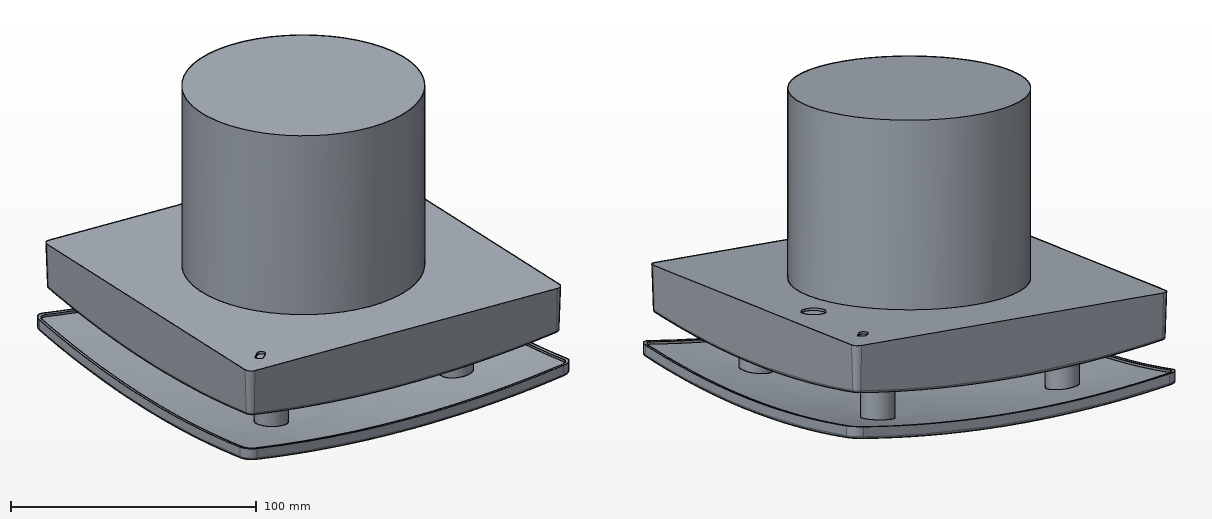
import cadquery as cq

duct_diameter = 99.0
duct_height = 80.0

housing_size = 153.0
housing_corner_radius = 3.0
housing_draft_angle = 2.0
housing_depth = 30.6

plate_size = 159.0
plate_corner_radius = 5.0
plate_thickness = 5.0
rim_width = 1.4
rim_height = 1.0
overall_height = 129.63
plate_bottom_z = duct_height - overall_height

dome_radius = 540.0
edge_fillet = 1.0

peg_diameter = 14.0
peg_offset = 45.0

recess_depth = 1.0
slot_length = 7.0
slot_width = 3.5
slot_angle = -45.0
slot_centers = [(-62.0, 63.4), (65.0, -63.4)]
round_recess_diameter = 10.2
round_recess_center = (-22.0, 61.0)


def ball(lowest_z):
    """Dome-shaping sphere whose lowest point is at lowest_z."""
    return cq.Workplane("XY").sphere(dome_radius).translate((0, 0, lowest_z + dome_radius))


def rounded_block(size, corner_radius, bottom_z):
    """Square block with rounded corners from bottom_z up to Z = 0."""
    base = cq.Workplane("XY").workplane(offset=bottom_z)
    block = base.rect(size, size).extrude(-bottom_z)
    return block.edges("|Z").fillet(corner_radius)


def round_lower_rim(body):
    """Round the edges around the domed underside of the body."""
    return body.faces("<Z").edges().fillet(edge_fillet)


def make_housing():
    outline = cq.Workplane("XY").sketch().rect(housing_size, housing_size)
    outline = outline.vertices().fillet(housing_corner_radius).finalize()
    block = outline.extrude(-housing_depth, taper=housing_draft_angle)
    return round_lower_rim(block.intersect(ball(-housing_depth)))


def make_plate():
    block = rounded_block(plate_size, plate_corner_radius, plate_bottom_z)
    rim_z = plate_bottom_z + plate_thickness
    plate = round_lower_rim(block.intersect(ball(plate_bottom_z)).cut(ball(rim_z)))
    tray_size = plate_size - 2 * rim_width
    tray = rounded_block(tray_size, plate_corner_radius - rim_width, plate_bottom_z)
    return plate.cut(tray.intersect(ball(rim_z - rim_height)))


def make_pegs():
    """Pegs end between the faces of the plate and inside the housing."""
    dome_rise = peg_offset ** 2 / dome_radius
    peg_bottom_z = plate_bottom_z + dome_rise + plate_thickness / 2
    peg_top_z = -housing_depth / 2
    pegs = cq.Workplane("XY").workplane(offset=peg_bottom_z)
    pegs = pegs.rect(2 * peg_offset, 2 * peg_offset, forConstruction=True).vertices()
    return pegs.circle(peg_diameter / 2).extrude(peg_top_z - peg_bottom_z)


def make_recesses():
    slots = cq.Workplane("XY").pushPoints(slot_centers)
    slots = slots.slot2D(slot_length, slot_width, slot_angle).extrude(-recess_depth)
    round_recess = cq.Workplane("XY").center(*round_recess_center)
    return slots.union(round_recess.circle(round_recess_diameter / 2).extrude(-recess_depth))


duct = cq.Workplane("XY").circle(duct_diameter / 2).extrude(duct_height)
body = make_housing().union(make_pegs()).union(make_plate())
result = body.union(duct).cut(make_recesses())